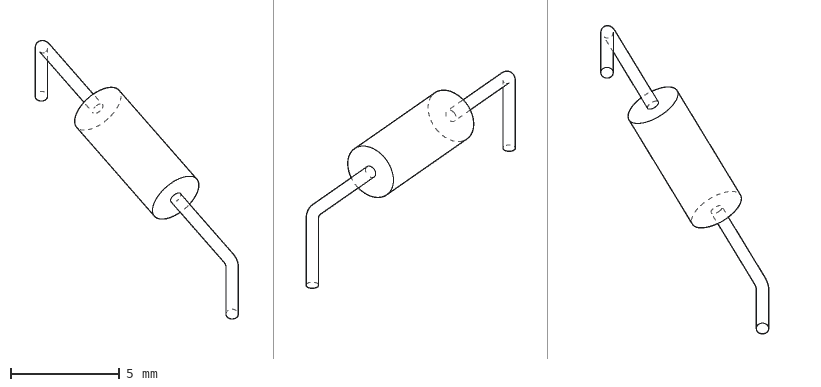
import cadquery as cq

span = 16.08
body_diameter = 2.6
body_length = 6.34
lead_diameter = 0.58
inner_bend_radius = 0.008
overall_height = 5.2

lead_radius = lead_diameter / 2
bend_radius = inner_bend_radius + lead_radius
leg_x = span / 2 - lead_radius
bend_start_x = leg_x - bend_radius
foot_z = body_diameter / 2 - overall_height


def make_body():
    """Plain cylinder along X."""
    return (
        cq.Workplane("YZ", origin=(-body_length / 2, 0, 0))
        .circle(body_diameter / 2)
        .extrude(body_length)
    )


def make_lead():
    """Lead on the +X side: straight run from the body face, quarter bend, vertical leg."""
    centreline = (
        cq.Workplane("XZ")
        .moveTo(body_length / 2, 0)
        .lineTo(bend_start_x, 0)
        .tangentArcPoint((leg_x, -bend_radius), relative=False)
        .lineTo(leg_x, foot_z)
    )
    return (
        cq.Workplane("YZ", origin=(body_length / 2, 0, 0))
        .circle(lead_radius)
        .sweep(centreline)
    )


body = make_body()
leads = [make_lead().rotate((0, 0, 0), (0, 0, 1), angle) for angle in (0, 180)]

result = cq.Compound.makeCompound([body.val(), *[lead.val() for lead in leads]])